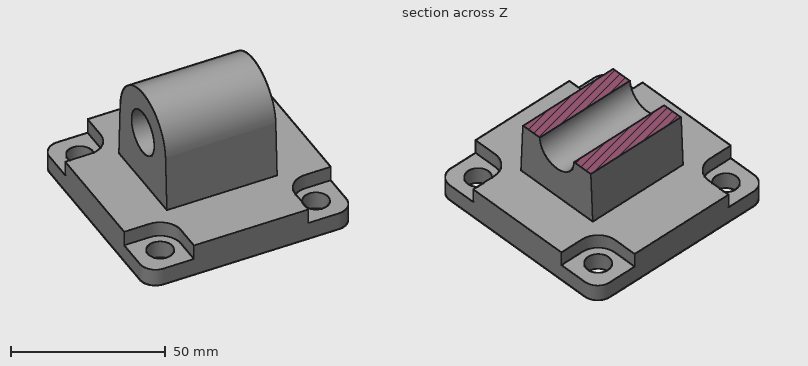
import cadquery as cq
import math

plate_side = 75.0
plate_thickness = 12.0
plate_corner_radius = 5.7

bolt_circle_diameter = 80.0
hole_spacing = bolt_circle_diameter / math.sqrt(2)
hole_diameter = 9.0
seat_height = 6.5
seat_radius = 7.5

lug_length = 40.0
lug_radius = 16.0
pivot_diameter = 16.0
pivot_height = 32.0
flank_angle = math.radians(2.6)


def make_plate():
    plate = cq.Workplane("XY").box(plate_side, plate_side, plate_thickness, centered=(True, True, False))
    return plate.edges("|Z").fillet(plate_corner_radius)


def make_corner_seat(x_sign, y_sign):
    """Volume removed above one seat: a square with its inner corner rounded about the hole axis."""
    inner_edge = hole_spacing / 2 - seat_radius
    outer_edge = plate_side / 2
    size = outer_edge - inner_edge
    middle = (inner_edge + outer_edge) / 2
    inner_corner = ("<X" if x_sign > 0 else ">X") + " and " + ("<Y" if y_sign > 0 else ">Y")
    return (
        cq.Workplane("XY")
        .box(size, size, plate_thickness - seat_height, centered=(True, True, False))
        .edges("|Z and " + inner_corner)
        .fillet(seat_radius)
        .translate((x_sign * middle, y_sign * middle, seat_height))
    )


def make_lug():
    """Lug profile in XZ, with straight flanks tangent to the round top, extruded along Y."""
    tangent_x = lug_radius * math.cos(flank_angle)
    tangent_z = pivot_height + lug_radius * math.sin(flank_angle)
    foot_x = tangent_x + (tangent_z - plate_thickness) * math.tan(flank_angle)
    profile = (
        cq.Workplane("XZ")
        .moveTo(-foot_x, plate_thickness)
        .lineTo(foot_x, plate_thickness)
        .lineTo(tangent_x, tangent_z)
        .threePointArc((0, pivot_height + lug_radius), (-tangent_x, tangent_z))
        .close()
    )
    return profile.extrude(lug_length / 2, both=True)


def make_pivot_bore():
    return (
        cq.Workplane("XZ")
        .center(0, pivot_height)
        .circle(pivot_diameter / 2)
        .extrude(lug_length / 2, both=True)
    )


def make_mounting_holes():
    return (
        cq.Workplane("XY")
        .rect(hole_spacing, hole_spacing, forConstruction=True)
        .vertices()
        .circle(hole_diameter / 2)
        .extrude(plate_thickness)
    )


result = make_plate().union(make_lug())
for x_sign in (-1, 1):
    for y_sign in (-1, 1):
        result = result.cut(make_corner_seat(x_sign, y_sign))
result = result.cut(make_mounting_holes()).cut(make_pivot_bore())